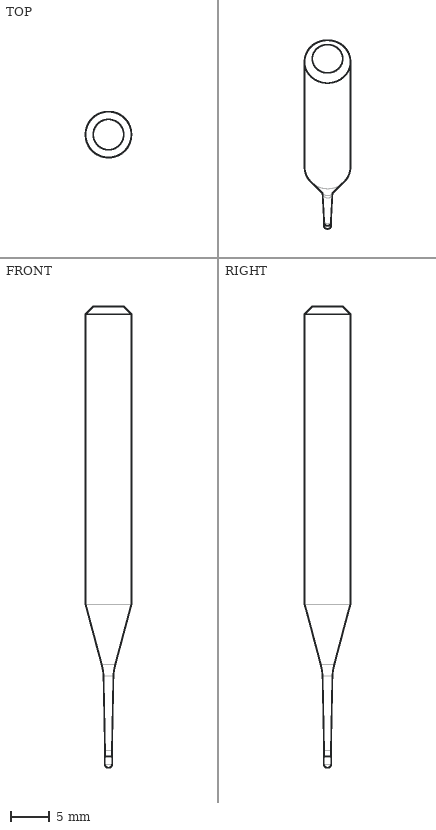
import cadquery as cq
import math

overall_length = 60.0
shank_radius = 3.0
shank_chamfer = 1.0
cutter_radius = 0.5
cutting_length = 1.5
shoulder_length = 0.1
neck_bottom_z = 2.3
neck_bottom_radius = 0.47
neck_top_z = 12.0
neck_top_radius = 0.65
cone_bottom_z = 13.45
cone_half_angle = 15.0
cone_bottom_radius = 0.9

cone_top_z = cone_bottom_z + (shank_radius - cone_bottom_radius) / math.tan(math.radians(cone_half_angle))


def revolve_about_z(profile):
    """Turn a closed (radius, z) profile into a round solid."""
    return profile.revolve(360, (0, 0, 0), (0, 1, 0))


def make_cutting_head():
    """Ball tip, straight cutting part and the shoulder where it meets the neck."""
    ball_mid = cutter_radius * math.sqrt(0.5)
    return revolve_about_z(
        cq.Workplane("XZ")
        .moveTo(0, 0)
        .threePointArc((ball_mid, cutter_radius - ball_mid), (cutter_radius, cutter_radius))
        .lineTo(cutter_radius, cutting_length - shoulder_length)
        .lineTo(neck_bottom_radius, cutting_length)
        .lineTo(0, cutting_length)
        .close()
    )


def make_holder():
    """Neck, concave blend tangent to the cone, cone and chamfered shank."""
    return revolve_about_z(
        cq.Workplane("XZ")
        .moveTo(0, overall_length)
        .lineTo(shank_radius - shank_chamfer, overall_length)
        .lineTo(shank_radius, overall_length - shank_chamfer)
        .lineTo(shank_radius, cone_top_z)
        .lineTo(cone_bottom_radius, cone_bottom_z)
        .tangentArcPoint((neck_top_radius, neck_top_z), relative=False)
        .lineTo(neck_bottom_radius, neck_bottom_z)
        .lineTo(neck_bottom_radius, cutting_length)
        .lineTo(0, cutting_length)
        .close()
    )


cutting_head = make_cutting_head()
holder = make_holder()

result = cq.Compound.makeCompound([cutting_head.val(), holder.val()])